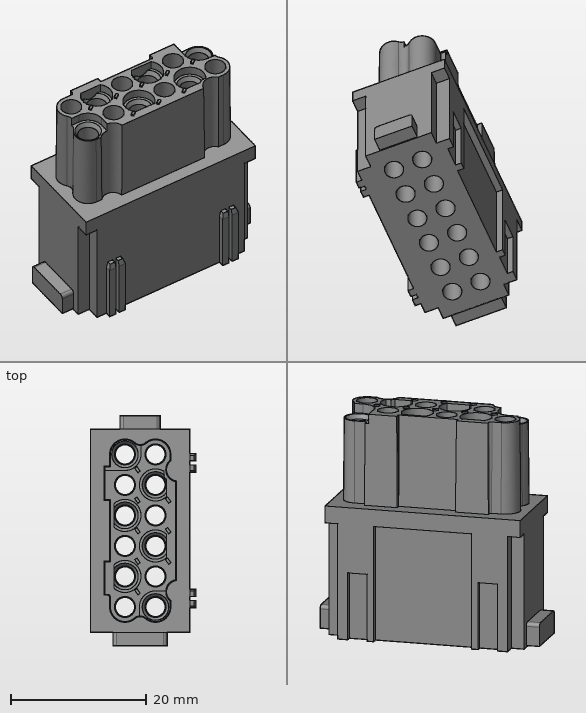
import cadquery as cq
import math


width = 14.7
length = 30.0
housing_top = 20.23
flange_thickness = 2.58
flange_bottom = housing_top - flange_thickness
corner_notch_x = 2.1
corner_notch_y = 1.95

wide_pocket_depth = 1.0
wide_pocket_length = 15.0
key_pocket_depth = 0.9
key_pocket_length = 3.0
key_pocket_height = 10.25
key_offset = 10.0
rib_projection = key_pocket_depth
rib_width = 1.1
rib_spacing = 1.7
rib_lead_height = 0.93
rib_lead_inset = 0.28

tab_projection = 2.0
tab_bottom = 0.25
tab_height = 3.5
tab_corner_radius = 0.55
front_tab_width = 8.05
back_tab_width = 6.0

pitch = 4.5
row_count = 6
columns = [-pitch / 2, pitch / 2]
rows = [((row_count - 1) / 2 - i) * pitch for i in range(row_count)]
bore_radius = 1.55
bore_end_radius = 1.4
recess_radius = 2.37
recess_depth = 1.4
recess_reach = 2 * recess_radius
countersink_radius = 1.95
countersink_depth = 0.7
recess_wall_x = 3.9

block_top = 34.15
recess_floor = block_top - recess_depth
block_draft = 0.5
lobe_radius = 2.27
neck_radius = 1.2
side_x = pitch / 2 + lobe_radius
key_x = 5.33
left_key_inner_y = 4.47
left_key_outer_y = 9.53
left_key_fillet = 0.28
right_key_half_length = 7.9
groove_radius = 1.7
groove_x = 5.57
groove_y = 2 * pitch
groove_wall_radius = 2.27
groove_wall_x = 3.55

overall_height = 34.4
mark_length = 0.83
mark_width = 0.4
mark_angle = -55
inner_mark_x = -0.4
outer_mark_x = 4.13


def box(x0, x1, y0, y1, z0, z1):
    return cq.Workplane("XY").box(x1 - x0, y1 - y0, z1 - z0, centered=False).translate((x0, y0, z0))


def cylinder(x, y, radius, z0, z1):
    return cq.Workplane("XY").workplane(offset=z0).center(x, y).circle(radius).extrude(z1 - z0)


def make_housing():
    half_x = width / 2
    half_y = length / 2
    body = box(-half_x, half_x, -half_y, half_y, 0, housing_top)

    inner_x = half_x - corner_notch_x
    inner_y = half_y - corner_notch_y
    for x0, x1 in [(-half_x, -inner_x), (inner_x, half_x)]:
        for y0, y1 in [(-half_y, -inner_y), (inner_y, half_y)]:
            body = body.cut(box(x0, x1, y0, y1, 0, flange_bottom))

    pockets = [
        (0, wide_pocket_length, wide_pocket_depth, flange_bottom),
        (key_offset, key_pocket_length, key_pocket_depth, key_pocket_height),
        (-key_offset, key_pocket_length, key_pocket_depth, key_pocket_height),
    ]
    for y, pocket_length, depth, height in pockets:
        y0 = y - pocket_length / 2
        body = body.cut(box(-half_x, depth - half_x, y0, y0 + pocket_length, 0, height))
    return body


def make_rib(y, outward):
    """Guide rib whose top slopes back on its tip and on the side facing away from its twin."""
    root_x = width / 2
    tip_x = root_x + rib_projection
    lead_bottom = key_pocket_height - rib_lead_height
    rib = box(root_x, tip_x, y - rib_width / 2, y + rib_width / 2, 0, key_pocket_height)

    tip_slope = (
        cq.Workplane("XZ", origin=(0, length / 2, 0))
        .moveTo(tip_x, lead_bottom)
        .lineTo(tip_x, key_pocket_height)
        .lineTo(tip_x - rib_lead_inset, key_pocket_height)
        .close()
        .extrude(length)
    )
    side_y = y + outward * rib_width / 2
    side_slope = (
        cq.Workplane("YZ", origin=(root_x, 0, 0))
        .moveTo(side_y, lead_bottom)
        .lineTo(side_y, key_pocket_height)
        .lineTo(side_y - outward * rib_lead_inset, key_pocket_height)
        .close()
        .extrude(rib_projection)
    )
    return rib.cut(tip_slope).cut(side_slope)


def make_tab(tab_width, side):
    centre_y = side * (length + tab_projection) / 2
    return (
        cq.Workplane("XY", origin=(0, centre_y, tab_bottom))
        .box(tab_width, tab_projection, tab_height, centered=(True, True, False))
        .edges("|Y and >Z")
        .fillet(tab_corner_radius)
    )


def make_contact_block():
    """Lobed outline, extruded with a slight draft."""
    left_key_length = left_key_outer_y - left_key_inner_y
    left_key_y = (left_key_outer_y + left_key_inner_y) / 2
    centre_distance = lobe_radius + neck_radius
    neck_y = rows[0] + math.sqrt(centre_distance**2 - (pitch / 2) ** 2)
    tangent_x = pitch / 2 * neck_radius / centre_distance
    tangent_y = rows[0] + (neck_y - rows[0]) * lobe_radius / centre_distance
    lobes = [(x, y) for x in columns for y in (rows[0], rows[-1])]
    outline = (
        cq.Sketch()
        .rect(2 * side_x, rows[0] - rows[-1])
        .push(lobes)
        .circle(lobe_radius)
        .reset()
        .rect(2 * tangent_x, 2 * tangent_y)
        .push([(0, neck_y), (0, -neck_y)])
        .circle(neck_radius, mode="s")
        .reset()
        .push([(-key_x / 2, left_key_y), (-key_x / 2, -left_key_y)])
        .rect(key_x, left_key_length)
        .reset()
        .push([(key_x / 2, 0)])
        .rect(key_x, 2 * right_key_half_length)
        .reset()
        .push([(groove_x, groove_y), (groove_x, -groove_y)])
        .circle(groove_radius, mode="s")
        .reset()
        .clean()
    )
    inner_corner = (-side_x, -left_key_outer_y, 0)
    outline = outline.vertices(cq.selectors.NearestToPointSelector(inner_corner)).fillet(left_key_fillet)
    return (
        cq.Workplane("XY", origin=(0, 0, housing_top))
        .placeSketch(outline)
        .extrude(block_top - housing_top, taper=block_draft)
    )


def make_outer_wall(side):
    """Solid region outside the flat sides of the recesses on one side of the block."""
    wall_x = sorted([side * recess_wall_x, side * width])
    return box(*wall_x, -length, length, housing_top, block_top)


def make_recess(column, row):
    """Round recess around a low cell: open to the outside at the two corner cells, else flat-sided."""
    x = columns[column]
    y = rows[row]
    side = math.copysign(1, x)
    recess = cylinder(x, y, recess_radius, recess_floor, block_top)

    if row in (0, row_count - 1):
        end = math.copysign(1, y)
        outer_x = sorted([x, x + side * recess_reach])
        inner_y = sorted([y - end * recess_radius, y + end * recess_reach])
        recess = recess.union(box(*outer_x, *inner_y, recess_floor, block_top))
        inner_x = sorted([x - side * recess_radius, x + side * recess_reach])
        outer_y = sorted([y, y + end * recess_reach])
        return recess.union(box(*inner_x, *outer_y, recess_floor, block_top))

    recess = recess.cut(make_outer_wall(side))
    groove_wall = cylinder(groove_x, groove_y, groove_wall_radius, recess_floor, block_top)
    groove_wall = groove_wall.intersect(box(groove_wall_x, width, 0, length, recess_floor, block_top))
    return recess.cut(groove_wall)


def make_countersink(column, row):
    cone = cq.Solid.makeCone(
        bore_radius, countersink_radius, countersink_depth,
        pnt=cq.Vector(columns[column], rows[row], recess_floor - countersink_depth),
    )
    countersink = cq.Workplane(cone)
    if 0 < row < row_count - 1:
        countersink = countersink.cut(make_outer_wall(math.copysign(1, columns[column])))
    return countersink


def make_mark(x, y):
    return (
        cq.Workplane("XY")
        .box(mark_length, mark_width, overall_height - block_top, centered=(True, True, False))
        .rotate((0, 0, 0), (0, 0, 1), mark_angle)
        .translate((x, y, block_top))
    )


body = make_housing()
body = body.union(make_tab(front_tab_width, -1)).union(make_tab(back_tab_width, 1))
for pair_y in (-key_offset, key_offset):
    for outward in (-1, 1):
        body = body.union(make_rib(pair_y + outward * rib_spacing / 2, outward))

body = body.union(make_contact_block())

for column in range(len(columns)):
    for row in range(row_count):
        x = columns[column]
        y = rows[row]
        if (column + row) % 2 == 0:
            body = body.cut(make_recess(column, row))
            body = body.cut(make_countersink(column, row))
        body = body.cut(cylinder(x, y, bore_radius, housing_top, block_top))
        body = body.cut(cylinder(x, y, bore_end_radius, 0, housing_top))

for gap in range(row_count - 1):
    gap_y = (rows[gap] + rows[gap + 1]) / 2
    body = body.union(make_mark(inner_mark_x, gap_y))
    if 0 < gap < row_count - 2:
        body = body.union(make_mark(outer_mark_x, gap_y))

result = body